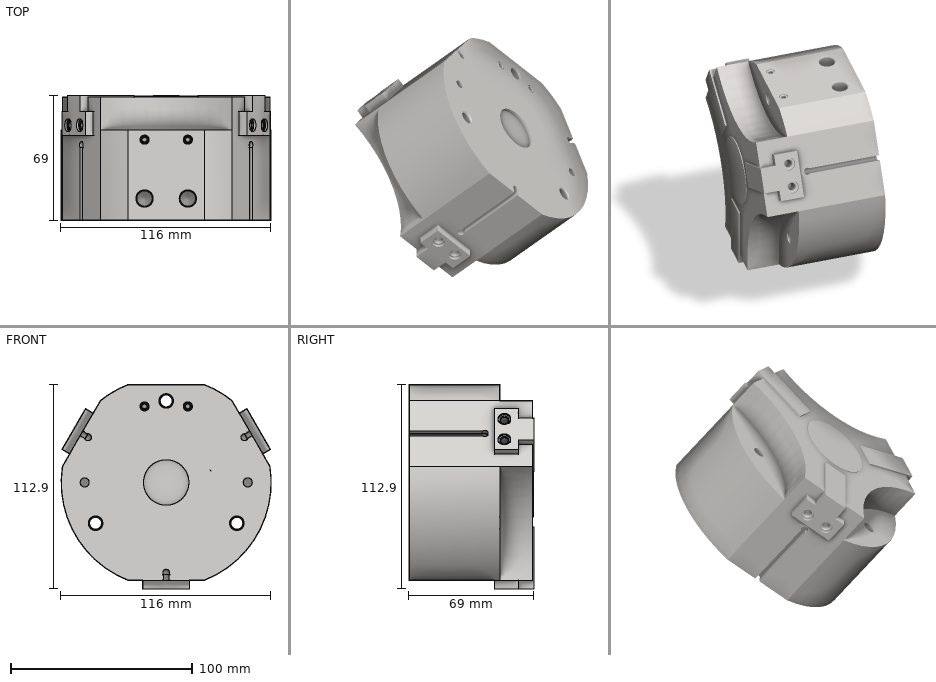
import cadquery as cq
import math


body_radius = 58.0
flat_distance = 54.0
top_angle = 180
base_length = 50.0
housing_length = 68.1
cover_radius = 19.1
cover_height = 0.5

jaw_spacing = 120
jaw_angles = (0, jaw_spacing, 2 * jaw_spacing)
jaw_inner = 24.5
jaw_outer = 58.9
jaw_bottom = 47.0
jaw_step = 60.2
jaw_top = 69.0
jaw_foot_width = 26.0
jaw_neck_width = 14.0
jaw_hole_pitch = 13.0
jaw_hole_y = 52.5
jaw_hole_diameter = 4.2
jaw_hole_depth = 11.6
jaw_hole_chamfer = 0.5
jaw_bore_diameter = 7.0
jaw_bore_depth = 1.4

groove_mouth_width = 2.9
groove_diameter = 3.7
groove_step_depth = 3.2
groove_axis_depth = 4.3
groove_end_y = 41.6
groove_entry_diameter = 4.0

bolt_circle_radius = 45.0
bolt_angles = (90, 210, 330)
bolt_hole_diameter = 6.6
bolt_hole_chamfer = 0.7
dowel_offset = 45.0
dowel_hole_diameter = 5.0
dowel_hole_depth = 10.0
recess_diameter = 25.0
recess_depth = 2.0
port_offset = 12.0
port_y = 12.1
port_diameter = 8.6
port_chamfer = 0.5
port_depth = 8.1
drill_point_angle = 118.0

plug_diameter = 5.0
plug_length = 5.0
plug_chamfer = 0.5
plug_socket_width = 2.5
plug_socket_depth = 1.7
plug_socket_chamfer = 0.5
front_plug_z = 42.0
top_plug_y = 44.5

Y_AXIS = cq.Vector(0, 1, 0)
Z_AXIS = cq.Vector(0, 0, 1)


def turned(shape, angle):
    """The shape turned about the gripper axis."""
    return shape.rotate((0, 0, 0), (0, 1, 0), angle)


def cylinder(diameter, length, start, direction):
    return cq.Workplane(cq.Solid.makeCylinder(diameter / 2, length, start, direction))


def countersink(hole_diameter, chamfer, start, direction):
    """Cone that chamfers a hole's mouth at `start`; `direction` points into the hole."""
    radius = hole_diameter / 2
    return cq.Workplane(cq.Solid.makeCone(radius + chamfer, radius, chamfer, start, direction))


def block(width, y_range, z_range):
    """Box centred on x = 0."""
    y_start, y_end = y_range
    z_start, z_end = z_range
    box = cq.Workplane().box(width, y_end - y_start, z_end - z_start, centered=(True, False, False))
    return box.translate((0, y_start, z_start))


def jaw_blank():
    """T-shaped jaw pointing to -Z, without its holes."""
    reach = (-jaw_outer, -jaw_inner)
    foot = block(jaw_foot_width, (jaw_bottom, jaw_step), reach)
    neck = block(jaw_neck_width, (jaw_bottom, jaw_top), reach)
    return foot.union(neck)


def make_jaw():
    jaw = jaw_blank()
    for side in (-1, 1):
        mouth = cq.Vector(side * jaw_hole_pitch / 2, jaw_hole_y, -jaw_outer)
        floor = mouth + Z_AXIS * jaw_bore_depth
        jaw = jaw.cut(cylinder(jaw_bore_diameter, jaw_bore_depth, mouth, Z_AXIS))
        jaw = jaw.cut(cylinder(jaw_hole_diameter, jaw_hole_depth, mouth, Z_AXIS))
        jaw = jaw.cut(countersink(jaw_hole_diameter, jaw_hole_chamfer, floor, Z_AXIS))
    return jaw


def make_plug():
    """Hexagon-socket plug with its head at the origin, reaching along +Y."""
    plug = cylinder(plug_diameter, plug_length, cq.Vector(), Y_AXIS).faces("<Y").chamfer(plug_chamfer)
    socket = (
        cq.Workplane("XZ")
        .polygon(6, plug_socket_width, circumscribed=True)
        .extrude(-plug_socket_depth)
    )
    mouth = countersink(plug_socket_width, plug_socket_chamfer, cq.Vector(), Y_AXIS)
    return plug.cut(socket).cut(mouth)


def housing_blank():
    """Round body with a flat at each jaw and on top, scalloped between the jaws at its +Y end."""
    housing = cylinder(2 * body_radius, housing_length, cq.Vector(), Y_AXIS)
    outside = block(2 * body_radius, (0, housing_length), (-2 * body_radius, -flat_distance))
    for angle in jaw_angles:
        housing = housing.cut(turned(outside, angle))
    housing = housing.cut(turned(outside, top_angle))

    half_flat = math.sqrt(body_radius**2 - flat_distance**2)
    chord_angle = math.radians(jaw_spacing / 2) - math.atan(half_flat / flat_distance)
    scallop_axis = 2 * body_radius * math.cos(chord_angle)
    scallop = cylinder(
        2 * body_radius, housing_length - base_length, cq.Vector(0, base_length, scallop_axis), Y_AXIS
    )
    for angle in jaw_angles:
        housing = housing.cut(turned(scallop, angle))
    return housing.union(
        cylinder(2 * cover_radius, cover_height, cq.Vector(0, housing_length, 0), Y_AXIS)
    )


def sensor_groove():
    """Round-bottomed groove in the flat at -Z, with a stepped, ball-ended entry hole at its end."""
    surface = -flat_distance
    axis_z = surface + groove_axis_depth
    mouth = block(groove_mouth_width, (0, groove_end_y), (surface, axis_z))
    walls = block(groove_diameter, (0, groove_end_y), (surface + groove_step_depth, axis_z))
    bottom = cylinder(groove_diameter, groove_end_y, cq.Vector(0, 0, axis_z), Y_AXIS)
    end = cylinder(groove_diameter, groove_axis_depth, cq.Vector(0, groove_end_y, surface), Z_AXIS)
    entry = cylinder(groove_entry_diameter, groove_step_depth, cq.Vector(0, groove_end_y, surface), Z_AXIS)
    ball = cq.Workplane().sphere(groove_diameter / 2).translate((0, groove_end_y, axis_z))
    return mouth.union(walls).union(bottom).union(end).union(entry).union(ball)


def bolt_hole(angle):
    turn = math.radians(angle)
    place = cq.Vector(math.cos(turn), 0, math.sin(turn)) * bolt_circle_radius
    hole = cylinder(bolt_hole_diameter, housing_length, place, Y_AXIS)
    return hole.union(countersink(bolt_hole_diameter, bolt_hole_chamfer, place, Y_AXIS))


def port(x):
    """Air port in the top flat, ending in a drill point."""
    radius = port_diameter / 2
    mouth = cq.Vector(x, port_y, flat_distance)
    down = -Z_AXIS
    point_length = radius / math.tan(math.radians(drill_point_angle / 2))
    point = cq.Workplane(cq.Solid.makeCone(radius, 0, point_length, mouth + down * port_depth, down))
    return (
        cylinder(port_diameter, port_depth, mouth, down)
        .union(point)
        .union(countersink(port_diameter, port_chamfer, mouth, down))
    )


def make_housing():
    housing = housing_blank()
    for angle in jaw_angles:
        housing = housing.cut(turned(jaw_blank(), angle)).cut(turned(sensor_groove(), angle))
    for angle in bolt_angles:
        housing = housing.cut(bolt_hole(angle))
    housing = housing.cut(cylinder(recess_diameter, recess_depth, cq.Vector(), Y_AXIS))
    for side in (-1, 1):
        dowel_place = cq.Vector(side * dowel_offset, 0, 0)
        front_plug_place = cq.Vector(side * port_offset, 0, front_plug_z)
        top_plug_place = cq.Vector(side * port_offset, top_plug_y, flat_distance)
        housing = housing.cut(cylinder(dowel_hole_diameter, dowel_hole_depth, dowel_place, Y_AXIS))
        housing = housing.cut(port(side * port_offset))
        housing = housing.cut(cylinder(plug_diameter, plug_length, front_plug_place, Y_AXIS))
        housing = housing.cut(cylinder(plug_diameter, plug_length, top_plug_place, -Z_AXIS))
    return housing


housing = make_housing()
jaws = [turned(make_jaw(), angle) for angle in jaw_angles]
front_plugs = [make_plug().translate((side * port_offset, 0, front_plug_z)) for side in (-1, 1)]
top_plugs = [
    make_plug().rotate((0, 0, 0), (1, 0, 0), -90).translate((side * port_offset, top_plug_y, flat_distance))
    for side in (-1, 1)
]

bodies = [housing, *jaws, *front_plugs, *top_plugs]
result = cq.Compound.makeCompound([body.val() for body in bodies])